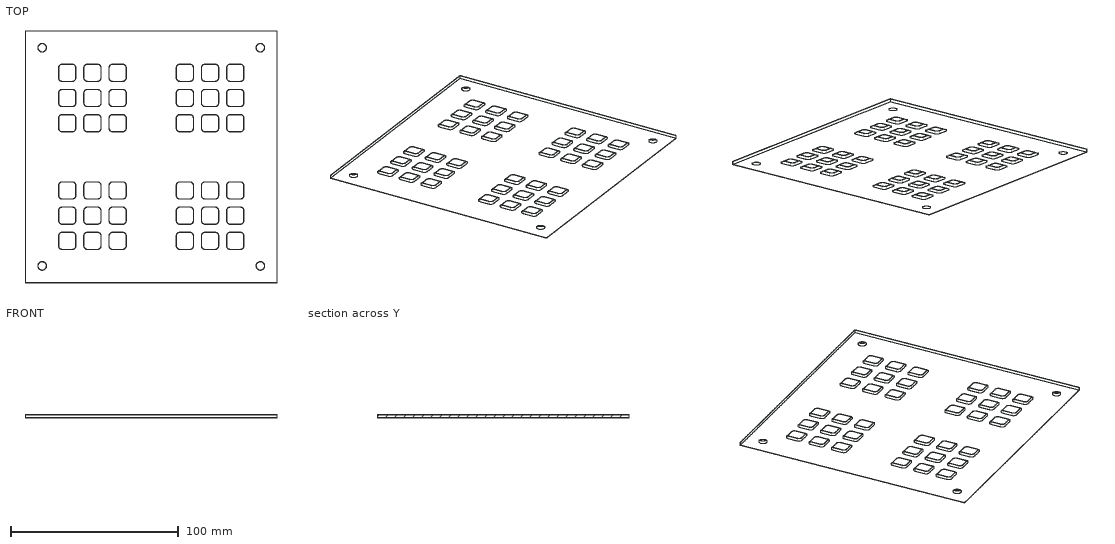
import cadquery as cq

plate_side = 150.0
plate_thickness = 2.0

mount_hole_diameter = 5.0
mount_hole_inset = 10.0
mount_hole_spacing = plate_side - 2 * mount_hole_inset

window_side = 10.0
window_corner_radius = 2.0
window_pitch = 15.0
windows_per_row = 3
group_spacing = 70.0


def make_plate():
    """Flat square plate resting on the XY plane."""
    return cq.Workplane("XY").box(
        plate_side, plate_side, plate_thickness, centered=(True, True, False)
    )


def make_mount_holes():
    """Cutters for the four corner holes."""
    return (
        cq.Workplane("XY")
        .rarray(mount_hole_spacing, mount_hole_spacing, 2, 2)
        .circle(mount_hole_diameter / 2)
        .extrude(plate_thickness)
    )


def make_window_group(center):
    """Cutters for one square grid of windows around the given center."""
    return (
        cq.Workplane("XY")
        .center(*center)
        .rarray(window_pitch, window_pitch, windows_per_row, windows_per_row)
        .rect(window_side, window_side)
        .extrude(plate_thickness)
        .edges("|Z")
        .fillet(window_corner_radius)
    )


result = make_plate().cut(make_mount_holes())
for x_side in (-1, 1):
    for y_side in (-1, 1):
        group_center = (x_side * group_spacing / 2, y_side * group_spacing / 2)
        result = result.cut(make_window_group(group_center))